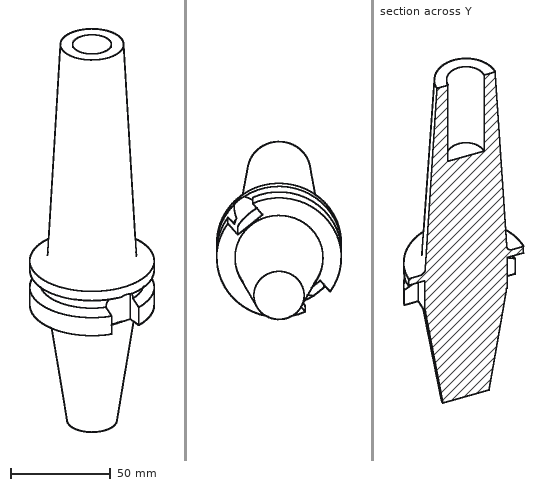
import cadquery as cq
import math

total_height = 217.8
gauge_height = 65.3
gauge_radius = 22.2
taper_slope = 7 / 48
shank_end_radius = gauge_radius - gauge_height * taper_slope

flange_diameter = 63.0
flange_radius = flange_diameter / 2
flange_bottom = 66.6
flange_top = 92.3
groove_radius = 26.4
groove_floor_bottom = 79.7
groove_floor_top = 84.3
groove_side_rise = 2.6

nose_tip_diameter = 32.0
nose_tip_radius = nose_tip_diameter / 2
nose_root_radius = 22.5
root_fillet = 3.0
nose_root_height = flange_top + root_fillet
bore_radius = 9.8
bore_depth = 52.3

slot_width = 16.3
slot_top = 87.5
slot_floor_distance = 22.7
slot_half_width = slot_width / 2
slot_center_height = slot_top - slot_half_width


def revolved_body():
    """Shank, flange and nose turned from one half profile."""
    fillet_reach = root_fillet * math.sqrt(0.5)
    fillet_center_radius = nose_root_radius + root_fillet
    fillet_middle = (fillet_center_radius - fillet_reach, nose_root_height - fillet_reach)
    profile = (
        cq.Workplane("XZ")
        .lineTo(shank_end_radius, 0)
        .lineTo(gauge_radius, gauge_height)
        .lineTo(gauge_radius, flange_bottom)
        .lineTo(flange_radius, flange_bottom)
        .lineTo(flange_radius, groove_floor_bottom - groove_side_rise)
        .lineTo(groove_radius, groove_floor_bottom)
        .lineTo(groove_radius, groove_floor_top)
        .lineTo(flange_radius, groove_floor_top + groove_side_rise)
        .lineTo(flange_radius, flange_top)
        .lineTo(fillet_center_radius, flange_top)
        .threePointArc(fillet_middle, (nose_root_radius, nose_root_height))
        .lineTo(nose_tip_radius, total_height)
        .lineTo(0, total_height)
        .close()
    )
    return profile.revolve(360, (0, 0, 0), (0, 1, 0))


def tool_bore():
    """Blind bore entering from the nose tip."""
    return (
        cq.Workplane("XY")
        .workplane(offset=total_height - bore_depth)
        .circle(bore_radius)
        .extrude(bore_depth)
    )


def drive_slot():
    """Cutter for the slot on the +X side, reaching from its flat floor past the flange rim."""
    return (
        cq.Workplane("YZ")
        .workplane(offset=slot_floor_distance)
        .moveTo(-slot_half_width, flange_bottom)
        .lineTo(slot_half_width, flange_bottom)
        .lineTo(slot_half_width, slot_center_height)
        .threePointArc((0, slot_top), (-slot_half_width, slot_center_height))
        .close()
        .extrude(flange_radius)
    )


result = revolved_body().cut(tool_bore())
for angle in (0, 180):
    result = result.cut(drive_slot().rotate((0, 0, 0), (0, 0, 1), angle))